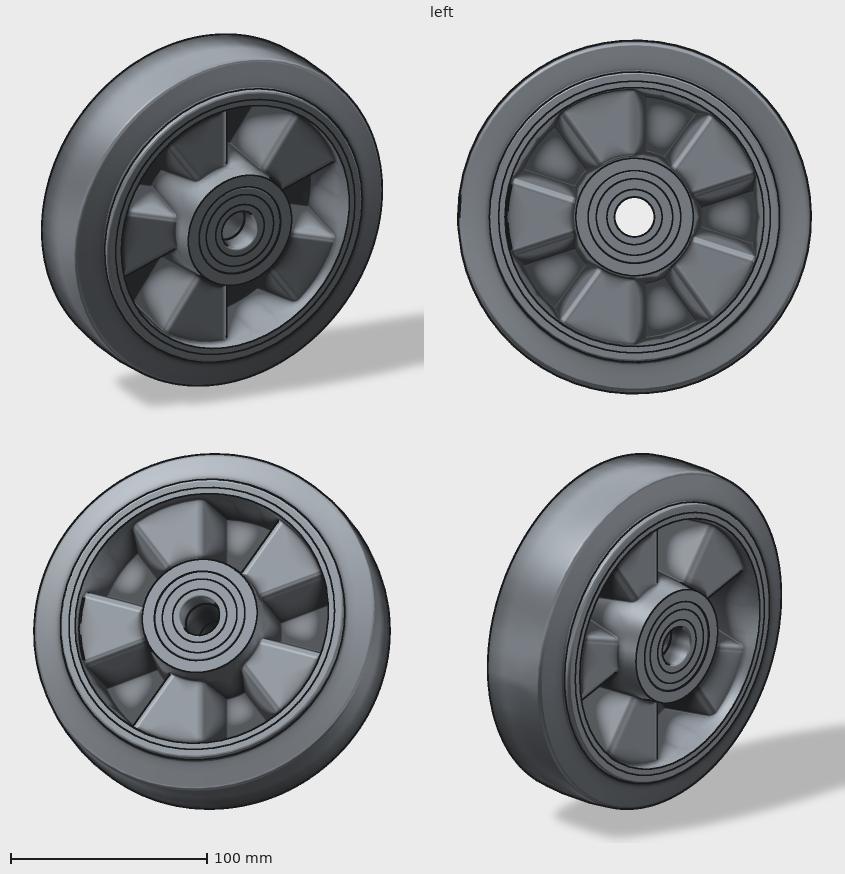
import cadquery as cq
import math


TYRE_RADIUS = 90.0
SHOULDER_RADIUS = 88.7
SHOULDER_X = 18.7
SHOULDER_FILLET = 2.0
FLANK_FOOT_X = 21.0
FLANK_FOOT_FILLET = 1.0
LIP_RADIUS = 73.8
LIP_FILLET = 1.5

RIM_WIDTH = 50.0
RIM_OUTER_RADIUS = 69.1
RIM_MOUTH_RADIUS = 65.9
HUB_WIDTH = 60.0
HUB_RADIUS = 29.9
HUB_DRAFT_ANGLE = 6.0
RIM_DRAFT_ANGLE = 7.0
POCKET_COUNT = 5
WEB_FACE_X = 18.4
POCKET_FLOOR_X = 9.0
RIB_DRAFT_ANGLE = 13.0
RIB_EDGE_OFFSET = 0.7
RIB_ROUNDING = 4.0
POCKET_FILLET = 0.7

BEARING_WIDTH = 14.0
BEARING_RADIUS = 23.5
OUTER_RING_INNER_RADIUS = 19.5
INNER_RING_OUTER_RADIUS = 14.0
BORE_RADIUS = 10.0
RING_FILLET = 0.9

MATCH_TOLERANCE = 0.02

half_rim = RIM_WIDTH / 2
half_hub = HUB_WIDTH / 2
bearing_inner_x = half_hub - BEARING_WIDTH
sector_angle = 180 / POCKET_COUNT
hub_slope = math.tan(math.radians(HUB_DRAFT_ANGLE))
rim_slope = math.tan(math.radians(RIM_DRAFT_ANGLE))
hub_foot_radius = HUB_RADIUS + (half_hub + POCKET_FLOOR_X) * hub_slope
rim_foot_radius = RIM_MOUTH_RADIUS - (half_rim + POCKET_FLOOR_X) * rim_slope
rib_slope = math.tan(math.radians(RIB_DRAFT_ANGLE))


def turn_about_x(body, angle):
    """Copy of a body turned about the wheel axis."""
    return body.rotate((0, 0, 0), (1, 0, 0), angle)


def half_turn(body):
    """Copy of a body turned end for end, about the Z axis."""
    return body.rotate((0, 0, 0), (0, 0, 1), 180)


def revolve_about_x(profile):
    """Turn a closed profile, drawn in XY with Y as the radius, about the wheel axis."""
    return profile.revolve(360, (0, 0, 0), (1, 0, 0))


def make_tube(x_start, x_end, inner_radius, outer_radius):
    """Plain tube between two X positions."""
    outline = cq.Workplane("YZ", origin=(x_start, 0, 0)).circle(outer_radius).circle(inner_radius)
    return outline.extrude(x_end - x_start)


def circles_at(body, x, radius):
    """Circular edges about the wheel axis, at either end, with the given distance and radius."""
    return [
        edge
        for edge in body.edges("%CIRCLE").vals()
        if math.isclose(abs(edge.Center().x), x, abs_tol=MATCH_TOLERANCE)
        and math.isclose(edge.radius(), radius, abs_tol=MATCH_TOLERANCE)
    ]


def make_tyre():
    """Crowned tread with sloping flanks and a cylindrical lip at each side."""
    profile = (
        cq.Workplane("XY")
        .moveTo(-half_rim, RIM_OUTER_RADIUS)
        .lineTo(-half_rim, LIP_RADIUS)
        .lineTo(-FLANK_FOOT_X, LIP_RADIUS)
        .lineTo(-SHOULDER_X, SHOULDER_RADIUS)
        .threePointArc((0, TYRE_RADIUS), (SHOULDER_X, SHOULDER_RADIUS))
        .lineTo(FLANK_FOOT_X, LIP_RADIUS)
        .lineTo(half_rim, LIP_RADIUS)
        .lineTo(half_rim, RIM_OUTER_RADIUS)
        .close()
    )
    tyre = revolve_about_x(profile)
    for x, radius, fillet in (
        (SHOULDER_X, SHOULDER_RADIUS, SHOULDER_FILLET),
        (FLANK_FOOT_X, LIP_RADIUS, FLANK_FOOT_FILLET),
        (half_rim, LIP_RADIUS, LIP_FILLET),
    ):
        tyre = tyre.newObject(circles_at(tyre, x, radius)).fillet(fillet)
    return tyre


def make_annular_cutter():
    """Space between hub and rim, from the -X end down to the pocket floor, narrowing with the draft."""
    rim_start_radius = RIM_MOUTH_RADIUS + (half_hub - half_rim) * rim_slope
    profile = (
        cq.Workplane("XY")
        .polyline([
            (-half_hub, HUB_RADIUS),
            (POCKET_FLOOR_X, hub_foot_radius),
            (POCKET_FLOOR_X, rim_foot_radius),
            (-half_hub, rim_start_radius),
        ])
        .close()
    )
    return revolve_about_x(profile)


def make_sloped_half(side):
    """Block on one Y side of the Z axis, with a rounded front edge and a wall that slopes with depth."""
    overhang = (WEB_FACE_X + half_hub) * rib_slope
    block = (
        cq.Workplane("XY")
        .polyline([
            (-WEB_FACE_X, side * RIB_EDGE_OFFSET),
            (half_hub, side * (RIB_EDGE_OFFSET - overhang)),
            (half_hub, side * TYRE_RADIUS),
            (-WEB_FACE_X, side * TYRE_RADIUS),
        ])
        .close()
        .extrude(TYRE_RADIUS)
    )
    front_edge = cq.selectors.NearestToPointSelector((-WEB_FACE_X, 0, TYRE_RADIUS / 2))
    return block.edges("|Z").edges(front_edge).fillet(RIB_ROUNDING)


def make_raised_sector():
    """Sector of the web, centred on +Z, that stands between two deep pockets."""
    first = turn_about_x(make_sloped_half(1), sector_angle / 2)
    second = turn_about_x(make_sloped_half(-1), -sector_angle / 2)
    return first.intersect(second)


def make_side_cutter():
    """Everything removed between hub and rim from the -X side, with its inside corners rounded."""
    cutter = make_annular_cutter()
    sector = make_raised_sector()
    for index in range(POCKET_COUNT):
        cutter = cutter.cut(turn_about_x(sector, (2 * index - 0.5) * sector_angle))
    floor_edges = cutter.faces(">X").edges().vals()
    web_face_edges = [
        edge
        for edge in cutter.edges("%CIRCLE").vals()
        if math.isclose(edge.Center().x, -WEB_FACE_X, abs_tol=MATCH_TOLERANCE)
    ]
    return cutter.newObject(floor_edges + web_face_edges).fillet(POCKET_FILLET)


def make_core():
    """Tapered hub and rim joined by a web whose sectors lie alternately near one end and the other."""
    core = make_tube(-half_rim, half_rim, INNER_RING_OUTER_RADIUS, RIM_OUTER_RADIUS)
    core = core.union(make_tube(-half_hub, half_hub, INNER_RING_OUTER_RADIUS, hub_foot_radius))
    side_cutter = make_side_cutter()
    bearing_seat = make_tube(-half_hub, -bearing_inner_x, INNER_RING_OUTER_RADIUS, BEARING_RADIUS)
    for cutter in (side_cutter, bearing_seat):
        core = core.cut(cutter).cut(half_turn(cutter))
    return core


def make_outer_ring():
    """Outer bearing ring at the -X end."""
    ring = make_tube(-half_hub, -bearing_inner_x, OUTER_RING_INNER_RADIUS, BEARING_RADIUS)
    outside_edges = circles_at(ring, half_hub, BEARING_RADIUS)
    outside_edges += circles_at(ring, bearing_inner_x, BEARING_RADIUS)
    return ring.newObject(outside_edges).fillet(RING_FILLET)


def make_inner_ring():
    """Inner bearing ring at the -X end."""
    ring = make_tube(-half_hub, -bearing_inner_x, BORE_RADIUS, INNER_RING_OUTER_RADIUS)
    bore_edges = circles_at(ring, half_hub, BORE_RADIUS)
    bore_edges += circles_at(ring, bearing_inner_x, BORE_RADIUS)
    return ring.newObject(bore_edges).fillet(RING_FILLET)


def make_seal():
    """Seal that fills the space between the bearing rings at the -X end."""
    return make_tube(-half_hub, -bearing_inner_x, INNER_RING_OUTER_RADIUS, OUTER_RING_INNER_RADIUS)


def make_spacer():
    """Tube inside the hub that keeps the inner rings apart."""
    return make_tube(-bearing_inner_x, bearing_inner_x, BORE_RADIUS, INNER_RING_OUTER_RADIUS)


tyre = make_tyre()
core = make_core()
spacer = make_spacer()

bearing_parts = []
for part in (make_outer_ring(), make_inner_ring(), make_seal()):
    bearing_parts.append(part.val())
    bearing_parts.append(half_turn(part).val())

result = cq.Compound.makeCompound([tyre.val(), core.val(), spacer.val(), *bearing_parts])